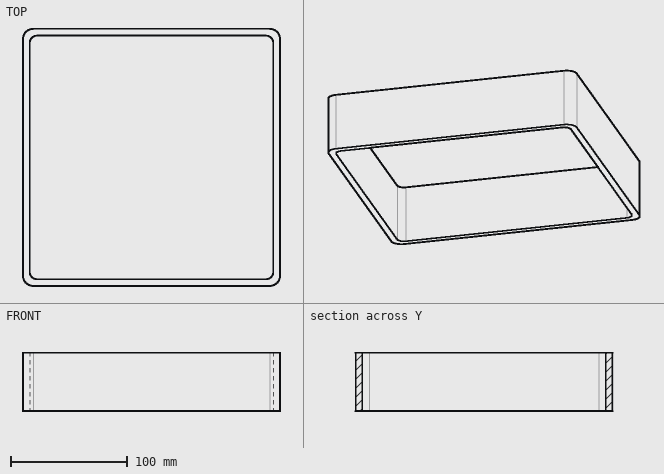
import cadquery as cq

side_length = 220.0
height = 50.0
wall_thickness = 6.0
outer_corner_radius = 9.0
inner_corner_radius = 6.0


def rounded_square_prism(side, corner_radius):
    """Square prism centred on Z, resting on Z = 0, with rounded vertical edges."""
    prism = cq.Workplane("XY").rect(side, side).extrude(height)
    return prism.edges("|Z").fillet(corner_radius)


outer_body = rounded_square_prism(side_length, outer_corner_radius)
opening = rounded_square_prism(side_length - 2 * wall_thickness, inner_corner_radius)

result = outer_body.cut(opening)